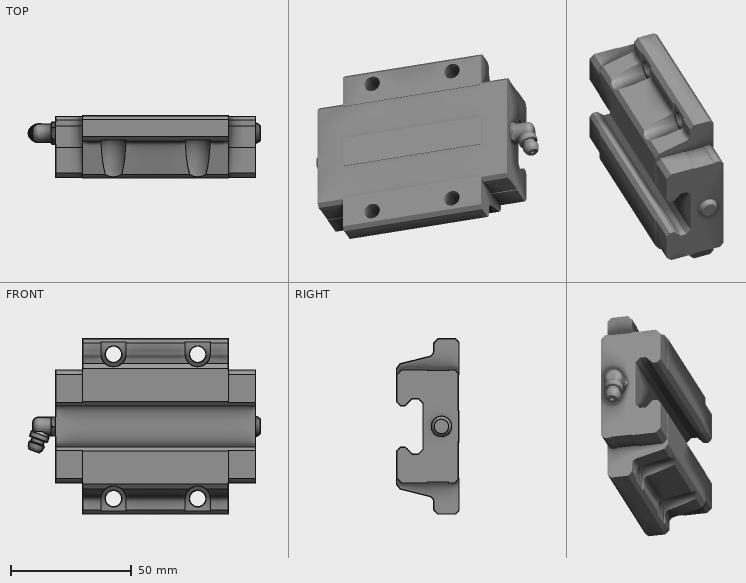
import cadquery as cq
import math


block_length = 60.6
block_depth = 26.0
block_height = 73.0
flange_front = 15.4
flange_back_chamfer = 1.5
flange_front_chamfer = 1.8
flank_base = 25.7
flank_slope = 0.25
flank_fillet = 2.2
nose_chamfer = 1.6
relief_depth = 0.3
relief_inner = 6.5
relief_outer = 21.6

groove_floor = 11.0
groove_floor_half = 9.6
undercut_half = 11.5
undercut_front = 6.6
mouth_half = 8.6
mouth_chamfer = 1.7

hole_diameter = 6.8
hole_pitch_x = 35.0
hole_pitch_z = 60.0
pocket_radius = 5.2
pocket_floor = 15.9

caps_length = 83.15
cap_front = 0.3
cap_back = 25.8
cap_height = 47.0
cap_front_chamfer = 1.9
cap_back_chamfer = 1.5
side_recess_depth = 0.3
side_recess_front = 12.8
side_recess_back = 21.7

fitting_y = 18.7
hex_flats = 8.0
hex_length = 1.8
elbow_diameter = 7.8
elbow_end_x = -51.1
elbow_rounding = 2.6
nipple_x = -46.8
nipple_tilt = 20.0
shoulder_start = 2.1
shoulder_radius = 3.2
collar_start = 3.6
collar_end = 5.8
collar_radius = 4.0
collar_chamfer = 0.3
neck_radius = 2.75
head_start = 7.3
head_crown = 7.8
head_crown_radius = 3.4
head_middle = 8.9
head_middle_radius = 3.3
head_shoulder = 9.8
head_shoulder_radius = 3.0
nipple_end = 10.9
nipple_end_radius = 2.3
grease_bore_diameter = 1.5
grease_bore_depth = 1.0
plug_length = 1.9
plug_base_diameter = 8.5
plug_end_diameter = 6.0
plug_bulge_x = 1.2
plug_bulge_diameter = 7.5


def prism(points, length):
    """A (Y, Z) outline extruded along X, centred on X = 0."""
    return cq.Workplane("YZ").polyline(points).close().extrude(length / 2, both=True)


def box(x_size, y_range, z_range):
    """A box centred on X = 0 with the given Y and Z ranges."""
    (y0, y1), (z0, z1) = y_range, z_range
    return prism([(y0, z0), (y1, z0), (y1, z1), (y0, z1)], x_size)


def mirrored(upper_points):
    """Complete an outline about Z = 0 from its upper half."""
    return upper_points + [(y, -z) for y, z in reversed(upper_points)]


def steel_block():
    """Flanged block without its holes, with the fillet where each flange meets its flank."""
    top = block_height / 2
    flank_angle = math.atan(flank_slope)
    root_z = flank_base + flank_slope * flange_front
    nose_y = nose_chamfer * math.cos(flank_angle)
    upper = [
        (block_depth, top - flange_back_chamfer),
        (block_depth - flange_back_chamfer, top),
        (flange_front + flange_front_chamfer, top),
        (flange_front, top - flange_front_chamfer),
        (flange_front, root_z),
        (nose_y, flank_base + flank_slope * nose_y),
        (0, flank_base - nose_chamfer),
    ]
    block = prism(mirrored(upper), block_length)
    for side in (1, -1):
        root = (0, flange_front, side * root_z)
        block = block.edges(cq.selectors.NearestToPointSelector(root)).fillet(flank_fillet)
        block = block.cut(relief(side))
    return block


def relief(side):
    """Shallow full-length cut in the mounting face."""
    y_range = (block_depth - relief_depth, block_depth)
    return box(block_length, y_range, (side * relief_inner, side * relief_outer))


def mounting_hole(x, side):
    """Through hole plus the pocket that opens toward the rail side and the flange edge."""
    z = side * hole_pitch_z / 2
    through = cq.Workplane("XZ").center(x, z).circle(hole_diameter / 2).extrude(-block_depth)
    pocket = cq.Workplane("XZ").center(x, z).circle(pocket_radius).extrude(-pocket_floor)
    to_edge = box(2 * pocket_radius, (0, pocket_floor), (z, side * block_height / 2))
    return through.union(pocket).union(to_edge.translate((x, 0, 0)))


def end_caps():
    """One bar carrying both end caps, running through the block."""
    half = cap_height / 2
    recessed = half - side_recess_depth
    upper = [
        (cap_back, half - cap_back_chamfer),
        (cap_back - cap_back_chamfer, half),
        (side_recess_back, half),
        (side_recess_back, recessed),
        (side_recess_front, recessed),
        (side_recess_front, half),
        (cap_front + cap_front_chamfer, half),
        (cap_front, half - cap_front_chamfer),
    ]
    return prism(mirrored(upper), caps_length)


def rail_groove():
    """Rail channel with undercut sides, cut through the block and both end caps."""
    undercut_back = groove_floor - (undercut_half - groove_floor_half)
    mouth_back = undercut_front - (undercut_half - mouth_half)
    upper = [
        (groove_floor, groove_floor_half),
        (undercut_back, undercut_half),
        (undercut_front, undercut_half),
        (mouth_back, mouth_half),
        (mouth_chamfer, mouth_half),
        (0, mouth_half + mouth_chamfer),
    ]
    return prism(mirrored(upper), caps_length)


def elbow():
    """Chamfered hexagon, corners toward +Y and -Y, and round body on the -X end cap."""
    face_x = -caps_length / 2
    plane = cq.Plane(origin=(face_x, fitting_y, 0), xDir=(0, 0, 1), normal=(-1, 0, 0))
    corner_radius = hex_flats / 2 / math.cos(math.pi / 6)
    chamfer_width = corner_radius - hex_flats / 2
    chamfer_height = chamfer_width * math.tan(math.pi / 6)
    envelope = (
        cq.Workplane(plane)
        .circle(corner_radius)
        .extrude(hex_length)
        .faces("<X")
        .chamfer(chamfer_height, chamfer_width)
    )
    hexagon = cq.Workplane(plane).polygon(6, hex_flats, circumscribed=True).extrude(hex_length)
    body = cq.Workplane(plane).circle(elbow_diameter / 2).extrude(face_x - elbow_end_x)
    return hexagon.intersect(envelope).union(body.faces("<X").edges().fillet(elbow_rounding))


def nipple():
    """Turned grease nipple leaving the elbow downward, tilted away from the block."""
    tilt = math.radians(nipple_tilt)
    axis_plane = cq.Plane(
        origin=(nipple_x, fitting_y, 0),
        xDir=(math.cos(tilt), 0, -math.sin(tilt)),
        normal=(0, 1, 0),
    )
    profile = (
        cq.Workplane(axis_plane)
        .lineTo(neck_radius, 0)
        .lineTo(neck_radius, shoulder_start)
        .lineTo(shoulder_radius, shoulder_start)
        .lineTo(collar_radius, collar_start)
        .lineTo(collar_radius, collar_end - collar_chamfer)
        .lineTo(collar_radius - collar_chamfer, collar_end)
        .lineTo(neck_radius, collar_end)
        .lineTo(neck_radius, head_start)
        .lineTo(head_crown_radius, head_crown)
        .threePointArc(
            (head_middle_radius, head_middle),
            (head_shoulder_radius, head_shoulder),
        )
        .lineTo(nipple_end_radius, nipple_end)
        .lineTo(grease_bore_diameter / 2, nipple_end)
        .lineTo(grease_bore_diameter / 2, nipple_end - grease_bore_depth)
        .lineTo(0, nipple_end - grease_bore_depth)
        .close()
    )
    return profile.revolve(360, (0, 0), (0, 1))


def plug():
    """Domed screw head on the +X end cap."""
    plane = cq.Workplane("XY", origin=(caps_length / 2, fitting_y, 0))
    base, end = plug_base_diameter / 2, plug_end_diameter / 2
    bulge = (plug_bulge_x, plug_bulge_diameter / 2)
    profile = (
        plane.lineTo(0, base)
        .threePointArc(bulge, (plug_length, end))
        .lineTo(plug_length, 0)
        .close()
    )
    return profile.revolve(360, (0, 0), (1, 0))


result = steel_block()
for hole_x in (-hole_pitch_x / 2, hole_pitch_x / 2):
    for flange_side in (1, -1):
        result = result.cut(mounting_hole(hole_x, flange_side))
result = result.union(end_caps()).cut(rail_groove())
result = result.union(elbow()).union(nipple()).union(plug())